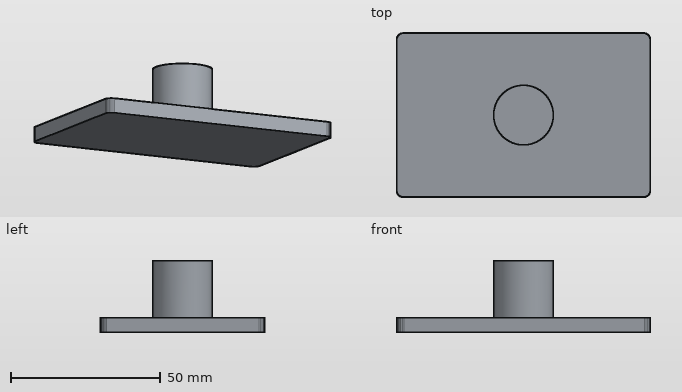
import cadquery as cq
import math

plate_length = 85.0
plate_width = 55.0
plate_thickness = 5.0

corner_radius = 2.3
polygon_sides = 25
facets_per_corner = polygon_sides // 4

post_diameter = 20.0
total_height = 24.0
post_height = total_height - plate_thickness


def corner_points(side_x, side_y, first_vertex):
    """Vertices of one faceted corner, counter-clockwise; vertex 0 of the polygon points along +X."""
    center_x = side_x * (plate_length / 2 - corner_radius)
    center_y = side_y * (plate_width / 2 - corner_radius)
    points = []
    for vertex in range(first_vertex, first_vertex + facets_per_corner + 1):
        angle = 2 * math.pi * vertex / polygon_sides
        x = center_x + corner_radius * math.cos(angle)
        y = center_y + corner_radius * math.sin(angle)
        points.append((x, y))
    return points


def make_plate():
    """Flat plate standing on Z = 0, with its corners rounded by flat facets."""
    outline = corner_points(1, 1, 0)
    outline += corner_points(-1, 1, facets_per_corner)
    outline += corner_points(-1, -1, 2 * facets_per_corner + 1)
    outline += corner_points(1, -1, 3 * facets_per_corner + 1)
    return cq.Workplane("XY").polyline(outline).close().extrude(plate_thickness)


def make_post():
    """Plain cylinder on the Z axis, standing on the plate's top face."""
    base = cq.Workplane("XY").workplane(offset=plate_thickness)
    return base.circle(post_diameter / 2).extrude(post_height)


result = make_plate().union(make_post())